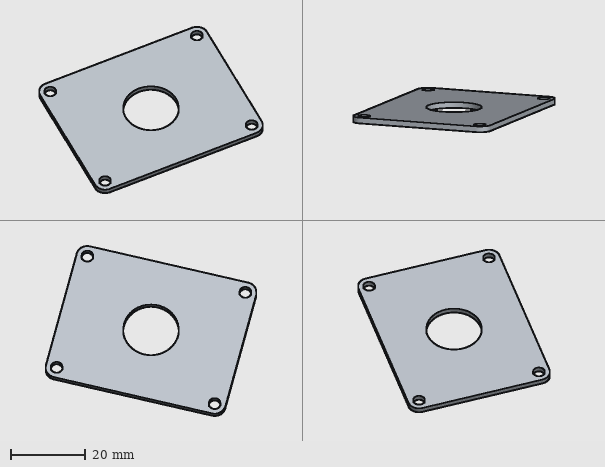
import cadquery as cq

width = 40
length = 50
thickness = 1.6
corner_radius = 3

center_hole_diameter = 15
mount_hole_diameter = 3.2

mount_spacing_x = width - 2 * corner_radius
mount_spacing_y = length - 2 * corner_radius

plate = cq.Workplane("XY").box(width, length, thickness).edges("|Z").fillet(corner_radius)

plate = plate.faces(">Z").workplane().hole(center_hole_diameter)

result = (
    plate.faces(">Z")
    .workplane()
    .rect(mount_spacing_x, mount_spacing_y, forConstruction=True)
    .vertices()
    .hole(mount_hole_diameter)
)